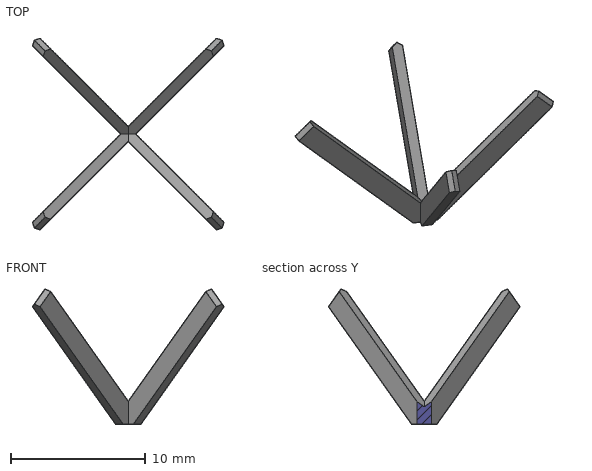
import cadquery as cq
import math

span = 14.29
height = 10.1
leg_width = 0.8
leg_depth = 2 * leg_width
leg_slope = 45.0
leg_count = 4
first_leg_angle = 45.0

half_width = leg_width / 2
rise = math.sin(math.radians(leg_slope))
run = math.cos(math.radians(leg_slope))
tip_rise = half_width / math.sqrt(2)

shoulder_radius = span / 2 * math.sqrt(2) - half_width
shoulder_z = height - tip_rise * rise - leg_depth * run
lower_face_z = shoulder_z - shoulder_radius * rise / run
upper_face_z = lower_face_z + leg_depth / run

start_radius = -upper_face_z * run**2
shoulder_length = shoulder_radius / run
start_length = (start_radius + leg_depth * rise) / run


def make_leg():
    """Sloping leg above +X, with a roof-shaped outer tip."""
    lower_face = cq.Plane(
        origin=(0, 0, lower_face_z), xDir=(run, 0, rise), normal=(-rise, 0, run)
    )
    return (
        cq.Workplane(lower_face)
        .moveTo(start_length, -half_width)
        .lineTo(shoulder_length, -half_width)
        .lineTo(shoulder_length + tip_rise, 0)
        .lineTo(shoulder_length, half_width)
        .lineTo(start_length, half_width)
        .close()
        .extrude(leg_depth)
    )


leg = make_leg()
legs = cq.Workplane("XY")
for index in range(leg_count):
    angle = first_leg_angle + index * 360 / leg_count
    legs = legs.union(leg.rotate((0, 0, 0), (0, 0, 1), angle))

above_base = cq.Workplane("XY").box(span, span, height, centered=(True, True, False))
result = legs.intersect(above_base)